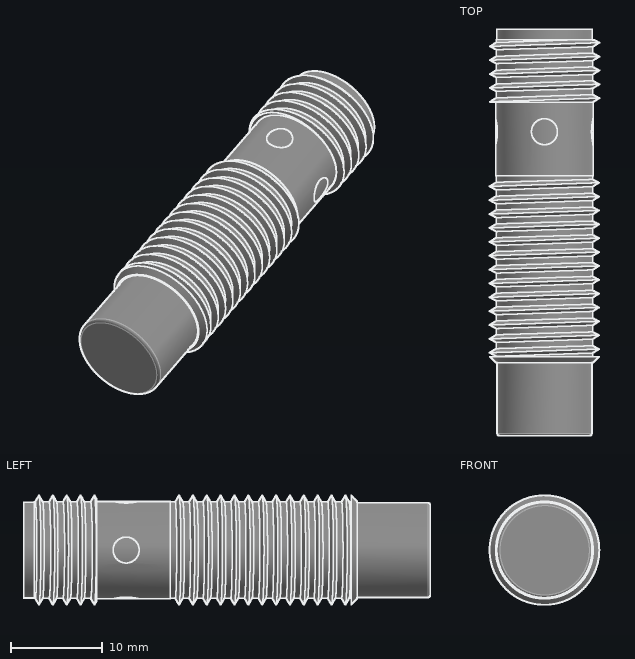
import cadquery as cq
import math

LENGTH = 44.5
THREAD_RADIUS = 6.0
ROOT_RADIUS = 5.3
NECK_RADIUS = 5.35
CAP_RADIUS = 5.2
INSERT_RADIUS = 5.25

CAP_LENGTH = 8.0
NECK_START = 28.5
NECK_LENGTH = 8.0
NECK_END = NECK_START + NECK_LENGTH
REAR_INSERT_LENGTH = 1.15
HOUSING_END = LENGTH - REAR_INSERT_LENGTH

CAP_EDGE_FILLET = 0.3
COLLAR_LENGTH = THREAD_RADIUS - NECK_RADIUS

FRONT_RING_COUNT = 13
FIRST_FRONT_RING = 9.3
LAST_FRONT_RING = 27.5
PITCH = (LAST_FRONT_RING - FIRST_FRONT_RING) / (FRONT_RING_COUNT - 1)
REAR_RING_COUNT = 5
FIRST_REAR_RING = 36.75
RING_RISE = 0.4
RING_TILT = math.degrees(math.atan(RING_RISE / (2 * THREAD_RADIUS)))
RING_SHIFT = 0.022
FLANK_HALF_ANGLE = 30.0
RING_EMBED = 0.45

WINDOW_RADIUS = 1.42
WINDOW_STATION = 33.3
WINDOW_DEPTH = 0.9
WINDOW_ANGLES = (0, 90, 180, 270)


def cylinder(radius, start, length):
    """Cylinder about the Y axis, running from start toward +Y."""
    plane = cq.Plane(origin=(0, start, 0), xDir=(1, 0, 0), normal=(0, 1, 0))
    return cq.Workplane(plane).circle(radius).extrude(length)


def thread_ring(station, shift):
    """One tilted ring with a sharp crest."""
    inner_radius = ROOT_RADIUS - RING_EMBED
    half_width = (THREAD_RADIUS - inner_radius) * math.tan(math.radians(FLANK_HALF_ANGLE))
    ring = (
        cq.Workplane("XY")
        .moveTo(inner_radius, -half_width)
        .lineTo(THREAD_RADIUS, 0)
        .lineTo(inner_radius, half_width)
        .close()
        .revolve(360, (0, 0, 0), (0, 1, 0))
    )
    return ring.rotate((0, 0, 0), (0, 0, 1), RING_TILT).translate((shift, station, 0))


def lead_in_collar():
    """Cone that widens from the neck diameter to the thread diameter behind the cap."""
    return (
        cq.Workplane("XY")
        .moveTo(0, CAP_LENGTH)
        .lineTo(NECK_RADIUS, CAP_LENGTH)
        .lineTo(THREAD_RADIUS, CAP_LENGTH + COLLAR_LENGTH)
        .lineTo(0, CAP_LENGTH + COLLAR_LENGTH)
        .close()
        .revolve(360, (0, 0, 0), (0, 1, 0))
    )


def window_plug(angle):
    """Round window facing +Z turned about Y, its outer face following the neck surface."""
    plug = (
        cq.Workplane("XY", origin=(0, WINDOW_STATION, NECK_RADIUS - WINDOW_DEPTH))
        .circle(WINDOW_RADIUS)
        .extrude(2 * WINDOW_DEPTH)
        .intersect(cylinder(NECK_RADIUS, NECK_START, NECK_LENGTH))
    )
    return plug.rotate((0, 0, 0), (0, 1, 0), angle)


def threaded_housing(windows):
    """Housing with collar, two threaded stretches, plain neck and window recesses."""
    body = cylinder(ROOT_RADIUS, CAP_LENGTH, NECK_START - CAP_LENGTH)
    body = body.union(lead_in_collar())
    body = body.union(cylinder(NECK_RADIUS, NECK_START, NECK_LENGTH))
    body = body.union(cylinder(ROOT_RADIUS, NECK_END, HOUSING_END - NECK_END))
    for index in range(FRONT_RING_COUNT):
        body = body.union(thread_ring(FIRST_FRONT_RING + index * PITCH, -RING_SHIFT))

    rear_span = cylinder(2 * THREAD_RADIUS, NECK_END, HOUSING_END - NECK_END)
    for index in range(REAR_RING_COUNT):
        ring = thread_ring(FIRST_REAR_RING + index * PITCH, RING_SHIFT)
        body = body.union(ring.intersect(rear_span))

    for window in windows:
        body = body.cut(window)
    return body


def sensing_cap():
    """Plain front cap with a rounded face edge."""
    return cylinder(CAP_RADIUS, 0, CAP_LENGTH).faces("<Y").edges().fillet(CAP_EDGE_FILLET)


def rear_insert():
    """Short plain disc closing the cable end."""
    return cylinder(INSERT_RADIUS, HOUSING_END, REAR_INSERT_LENGTH)


windows = [window_plug(angle) for angle in WINDOW_ANGLES]
housing = threaded_housing(windows)
cap = sensing_cap()
insert = rear_insert()

result = cq.Compound.makeCompound(
    [body.solids().val() for body in [housing, cap, insert, *windows]]
)